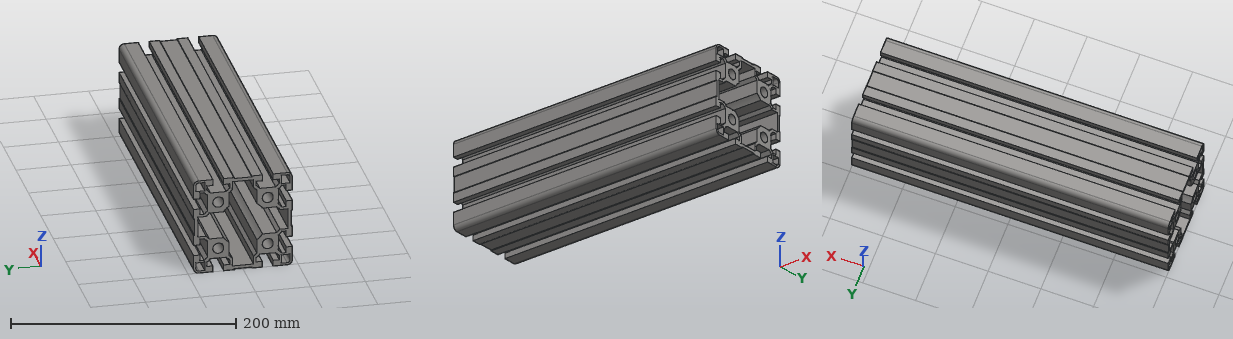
import cadquery as cq

length = 300.0
section_side = 90.0
corner_radius = 4.8
half_side = section_side / 2

slot_pitch = 45.0
slot_mouth_width = 10.0
slot_lip_thickness = 5.7
slot_inner_width = 21.0
slot_depth = 13.0
slot_floor_chamfer = 3.3

channel_diameter = 10.0

hollow_wall = 2.0
hollow_side = 8.0
hollow_radius = corner_radius - hollow_wall

relief_width = 16.0
relief_depth = 1.0

cavity_wall = 4.0
cavity_tip_width = 19.2
cavity_arm_width = 25.2
cavity_step_depth = 11.5
cavity_core_diameter = 43.5


def on_end_face():
    """Workplane on the X = 0 end: local x runs along Y, local y along Z."""
    return cq.Workplane("YZ")


def make_body():
    body = on_end_face().rect(section_side, section_side).extrude(length)
    return body.edges("|X").fillet(corner_radius)


def make_slot(center):
    """T-slot opening through the +Z face, with chamfered floor corners."""
    half_mouth = slot_mouth_width / 2
    half_inner = slot_inner_width / 2
    half_floor = half_inner - slot_floor_chamfer
    lip = half_side - slot_lip_thickness
    floor = half_side - slot_depth
    wall_end = floor + slot_floor_chamfer
    outline = [
        (center - half_mouth, half_side),
        (center - half_mouth, lip),
        (center - half_inner, lip),
        (center - half_inner, wall_end),
        (center - half_floor, floor),
        (center + half_floor, floor),
        (center + half_inner, wall_end),
        (center + half_inner, lip),
        (center + half_mouth, lip),
        (center + half_mouth, half_side),
    ]
    return on_end_face().polyline(outline).close().extrude(length)


def make_relief():
    """Shallow recess along the middle of the +Z face."""
    recess = on_end_face().center(0, half_side - relief_depth / 2)
    return recess.rect(relief_width, relief_depth).extrude(length)


def make_cavity_arm():
    """Arm of the cavity from the centre towards the +Z face, narrowing near its tip."""
    half_arm = cavity_arm_width / 2
    half_tip = cavity_tip_width / 2
    tip = half_side - cavity_wall
    narrow_end = half_side - cavity_step_depth
    wide_end = narrow_end - (half_arm - half_tip)
    outline = [
        (-half_arm, 0),
        (-half_arm, wide_end),
        (-half_tip, narrow_end),
        (-half_tip, tip),
        (half_tip, tip),
        (half_tip, narrow_end),
        (half_arm, wide_end),
        (half_arm, 0),
    ]
    return on_end_face().polyline(outline).close().extrude(length)


def make_corner_hollow():
    """Square tube opening in the +Y +Z corner, rounded alongside the outer corner."""
    center = half_side - hollow_wall - hollow_side / 2
    hollow = on_end_face().center(center, center).rect(hollow_side, hollow_side).extrude(length)
    return hollow.edges("|X and >Y and >Z").fillet(hollow_radius)


def make_channels():
    channels = on_end_face().rect(slot_pitch, slot_pitch, forConstruction=True).vertices()
    return channels.circle(channel_diameter / 2).extrude(length)


result = make_body()
result = result.cut(on_end_face().circle(cavity_core_diameter / 2).extrude(length))
result = result.cut(make_channels())

face_cuts = [
    make_slot(-slot_pitch / 2),
    make_slot(slot_pitch / 2),
    make_relief(),
    make_cavity_arm(),
    make_corner_hollow(),
]
for angle in (0, 90, 180, 270):
    for cutter in face_cuts:
        result = result.cut(cutter.rotate((0, 0, 0), (1, 0, 0), angle))